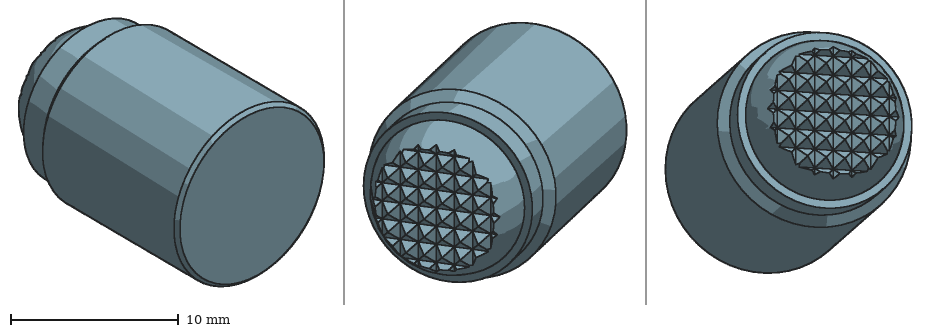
import cadquery as cq

total_length = 17.0

housing_diameter = 12.0
collar_diameter = 10.8
collar_front_x = 2.52
collar_length = 1.78
rear_chamfer = 0.25

ball_radius = 5.0
ball_center_x = 3.5
tooth_pitch = 1.15
tooth_rows = 6
tooth_depth = tooth_pitch / 2


def make_sphere():
    """Full sphere at the ball's place, with its seam turned towards -X."""
    return (
        cq.Workplane("XY")
        .sphere(ball_radius)
        .rotate((0, 0, 0), (0, 0, 1), 180)
        .translate((ball_center_x, 0, 0))
    )


def make_housing():
    """Turned housing with a spherical socket that holds the ball."""
    housing_radius = housing_diameter / 2
    collar_radius = collar_diameter / 2
    shoulder_x = collar_front_x + collar_length
    shoulder_chamfer = housing_radius - collar_radius
    turned = (
        cq.Workplane("XY")
        .moveTo(collar_front_x, 0)
        .lineTo(collar_front_x, collar_radius)
        .lineTo(shoulder_x, collar_radius)
        .lineTo(shoulder_x + shoulder_chamfer, housing_radius)
        .lineTo(total_length - rear_chamfer, housing_radius)
        .lineTo(total_length, housing_radius - rear_chamfer)
        .lineTo(total_length, 0)
        .close()
        .revolve(360, (0, 0, 0), (1, 0, 0))
    )
    return turned.cut(make_sphere())


def make_groove(offset):
    """V-groove along Z in the flat face, centred on Y = offset."""
    return (
        cq.Workplane("XY")
        .moveTo(0, offset - tooth_depth)
        .lineTo(tooth_depth, offset)
        .lineTo(0, offset + tooth_depth)
        .close()
        .extrude(ball_radius, both=True)
    )


def make_ball():
    """Ball with a flat front face crossed by two sets of V-grooves."""
    waste_size = 2 * ball_radius
    waste = cq.Workplane("XY").box(waste_size, waste_size, waste_size).translate((-ball_radius, 0, 0))
    ball = make_sphere().cut(waste)
    for index in range(tooth_rows + 1):
        groove = make_groove((index - tooth_rows / 2) * tooth_pitch)
        ball = ball.cut(groove)
        ball = ball.cut(groove.rotate((0, 0, 0), (1, 0, 0), 90))
    return ball


housing = make_housing()
ball = make_ball()
result = cq.Compound.makeCompound([housing.val(), ball.val()])